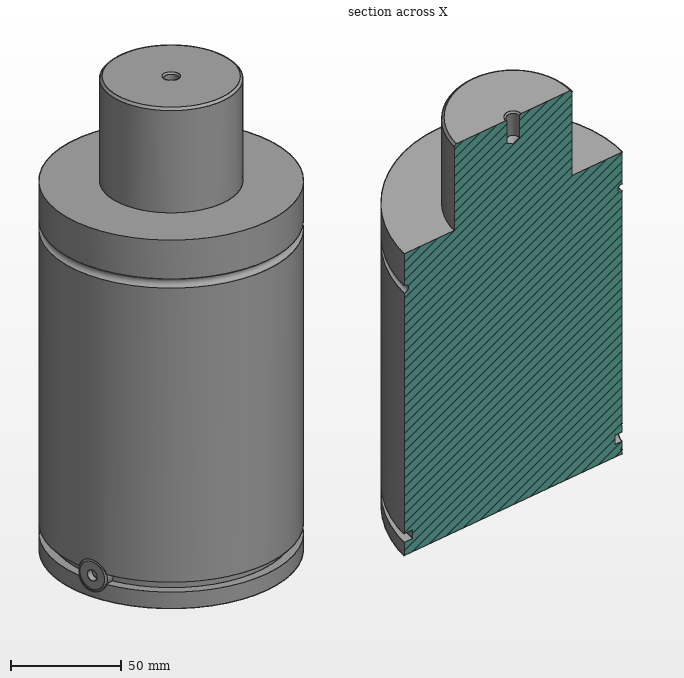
import cadquery as cq
import math

total_height = 240.0
body_diameter = 120.0
body_height = 187.0
rod_diameter = 65.0
rod_chamfer = 1.2

upper_groove_z = 165.0
upper_groove_radius = 2.28

lower_groove_bottom = 8.5
lower_groove_top = 13.5
lower_groove_depth = 4.5

rod_hole_diameter = 6.7
rod_hole_mouth_diameter = 8.5
rod_hole_depth = 14.5
drill_point_angle = 118

plug_z = 10.8
plug_diameter = 16.0
plug_face_diameter = 14.0
plug_recess = 0.2
plug_chamfer_height = 0.7
plug_length = 9.5
plug_hole_diameter = 5.5
plug_hole_depth = 3.5

body_radius = body_diameter / 2


def make_body():
    """Cylinder with a square groove near its base and a rounded one near its top."""
    body = cq.Workplane("XY").circle(body_radius).extrude(body_height)
    lower_groove = (
        cq.Workplane("XY", origin=(0, 0, lower_groove_bottom))
        .circle(body_diameter)
        .circle(body_radius - lower_groove_depth)
        .extrude(lower_groove_top - lower_groove_bottom)
    )
    upper_groove = cq.Workplane("XY").add(
        cq.Solid.makeTorus(body_radius, upper_groove_radius, cq.Vector(0, 0, upper_groove_z))
    )
    return body.cut(lower_groove).cut(upper_groove)


def make_rod():
    """Piston rod with a chamfered end, standing on the body."""
    rod_length = total_height - body_height
    return (
        cq.Workplane("XY", origin=(0, 0, body_height))
        .circle(rod_diameter / 2)
        .extrude(rod_length)
        .faces(">Z")
        .chamfer(rod_chamfer)
    )


def drill_rod_end(part):
    """Blind hole with a countersunk mouth and a conical drill point."""
    mouth_chamfer = (rod_hole_mouth_diameter - rod_hole_diameter) / 2
    point_depth = rod_hole_diameter / 2 / math.tan(math.radians(drill_point_angle / 2))
    floor_z = total_height - rod_hole_depth
    hole = (
        cq.Workplane("XZ")
        .moveTo(0, floor_z - point_depth)
        .lineTo(rod_hole_diameter / 2, floor_z)
        .lineTo(rod_hole_diameter / 2, total_height - mouth_chamfer)
        .lineTo(rod_hole_mouth_diameter / 2, total_height)
        .lineTo(0, total_height)
        .close()
        .revolve(360, (0, 0, 0), (0, 1, 0))
    )
    return part.cut(hole)


def fit_plug(part):
    """Recessed plug on the -Y side, chamfered at its rim, with a blind centre hole."""
    face_y = plug_recess - body_radius
    rim_chamfer = (plug_diameter - plug_face_diameter) / 2
    outside = cq.Workplane("XZ", origin=(0, face_y, plug_z))
    pocket = outside.circle(plug_diameter / 2).extrude(plug_length, both=True)
    plug = (
        outside.circle(plug_diameter / 2)
        .extrude(-plug_length)
        .faces("<Y")
        .chamfer(plug_chamfer_height, rim_chamfer)
    )
    plug_hole = outside.circle(plug_hole_diameter / 2).extrude(-plug_hole_depth)
    return part.cut(pocket).union(plug).cut(plug_hole)


result = fit_plug(drill_rod_end(make_body().union(make_rod())))